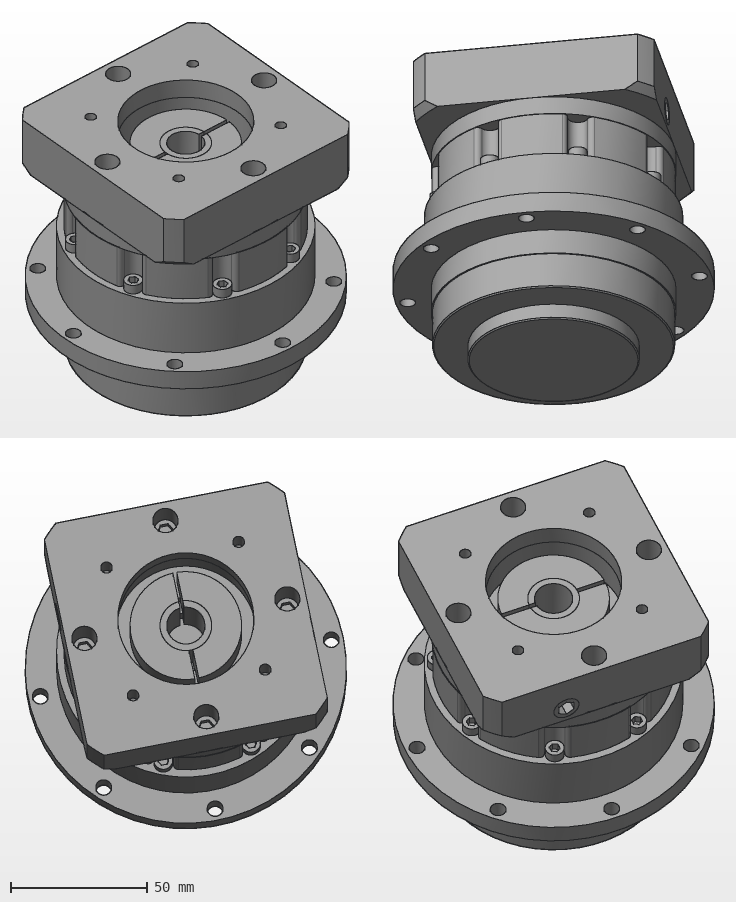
import cadquery as cq
import math

hub_radius = 31.5
hub_top = 6.0
nose_radius = 44.5
nose_top = 20.0
pilot_radius = 45.0
pilot_top = 29.8
flange_radius = 59.0
flange_top = 37.7
ring_radius = 47.5
ring_top = 60.5
neck_radius = 44.75
neck_top = 78.7
seat_radius = pilot_radius
gearbox_top = 85.7
output_chamfer = 0.5

flange_hole_count = 8
flange_hole_circle = 54.5
flange_hole_diameter = 5.8

neck_screw_count = 8
neck_screw_pitch = 360 / neck_screw_count
neck_screw_start = neck_screw_pitch / 2
neck_screw_circle = 42.9
neck_screw_head_diameter = 7.0
neck_screw_head_height = 3.9
neck_screw_socket = 3.5
neck_screw_socket_depth = 3.0
scallop_radius = 3.75
scallop_lip_radius = 2.0

adapter_width = 90.0
adapter_height = 22.8
adapter_top = gearbox_top + adapter_height
adapter_corner_radius = 60.0
adapter_corner_chamfer = 3.0
motor_pilot_radius = 25.0
motor_pilot_depth = 8.0
cavity_radius = motor_pilot_radius + 1.0

motor_hole_count = 4
motor_hole_start = 45
motor_hole_circle = 35.0
motor_hole_diameter = 4.2
motor_hole_depth = 12.0
drill_point_angle = 118.0

adapter_screw_count = 4
adapter_screw_circle = 38.0
adapter_screw_bore_diameter = 9.2
adapter_screw_bore_bottom = gearbox_top + 3.0
adapter_screw_head_diameter = 8.5
adapter_screw_head_height = 5.0
adapter_screw_socket = 5.0
adapter_screw_socket_depth = 3.0

plug_y = 14.0
plug_z = 92.5
plug_diameter = 10.0
plug_length = 8.0
plug_socket = 6.0
plug_socket_depth = 5.0

collar_radius = 20.5
collar_top = adapter_top - 10.0
slot_width = 1.5
shaft_radius = 14.0
shaft_slot_bottom = gearbox_top - 5.0
bushing_radius = 9.5
bushing_bore_radius = 7.0
bushing_length = 25.0
bushing_bottom = collar_top - bushing_length


def disc(radius, bottom, top):
    """Solid cylinder standing on the Z axis."""
    return cq.Workplane("XY").workplane(offset=bottom).circle(radius).extrude(top - bottom)


def ring_points(radius, count, start=0.0):
    """Points evenly spaced on a circle around the Z axis."""
    angles = [math.radians(start + 360 * i / count) for i in range(count)]
    return [(radius * math.cos(a), radius * math.sin(a)) for a in angles]


def pins(points, diameter, bottom, top):
    """Upright cylinders at the given points."""
    plane = cq.Workplane("XY").workplane(offset=bottom)
    return plane.pushPoints(points).circle(diameter / 2).extrude(top - bottom)


def hexagon_diameter(across_flats):
    """Corner-to-corner size of a hexagon."""
    return across_flats / math.cos(math.radians(30))


def screw_heads(points, diameter, bottom, height, socket, socket_depth):
    """Cylindrical screw heads with hexagon sockets."""
    top = bottom + height
    heads = pins(points, diameter, bottom, top)
    sockets = (
        cq.Workplane("XY").workplane(offset=top).pushPoints(points)
        .polygon(6, hexagon_diameter(socket)).extrude(-socket_depth)
    )
    return heads.cut(sockets)


def make_neck():
    """Neck with a round-bottomed scallop, open outward and with rounded lips, at every screw."""
    neck = disc(neck_radius, ring_top, neck_top)
    height = neck_top - ring_top
    reach = ring_radius - neck_screw_circle
    base = cq.Workplane("XY").workplane(offset=ring_top)
    scallop = base.center(neck_screw_circle, 0).circle(scallop_radius).extrude(height)
    mouth = (
        base.center(neck_screw_circle + reach / 2, 0)
        .rect(reach, 2 * scallop_radius).extrude(height)
    )
    scallop = scallop.union(mouth)
    for i in range(neck_screw_count):
        angle = neck_screw_start + i * neck_screw_pitch
        neck = neck.cut(scallop.rotate((0, 0, 0), (0, 0, 1), angle))

    lip_offset = math.degrees(math.asin(scallop_radius / neck_radius))
    mid_height = (ring_top + neck_top) / 2
    for side in (-1, 1):
        start = neck_screw_start + side * lip_offset
        for x, y in ring_points(neck_radius, neck_screw_count, start):
            lip = neck.edges(cq.selectors.NearestToPointSelector((x, y, mid_height)))
            neck = lip.fillet(scallop_lip_radius)
    return neck


def make_collar():
    """Slotted clamp collar; the slot runs deeper inside the shaft than in the collar rim."""
    collar = disc(collar_radius, gearbox_top, collar_top)
    return collar.cut(slot_blade(collar_radius, gearbox_top))


def slot_blade(radius, bottom):
    """Thin blade along Y, trimmed to a cylinder, that cuts the clamping slot."""
    blade = (
        cq.Workplane("XY").workplane(offset=bottom)
        .rect(slot_width, 2 * radius).extrude(collar_top - bottom)
    )
    return blade.intersect(disc(radius, bottom, collar_top))


def make_gearbox():
    body = disc(hub_radius, 0, hub_top).faces("<Z").chamfer(output_chamfer)
    body = body.union(disc(nose_radius, hub_top, nose_top).faces("<Z").chamfer(output_chamfer))
    body = body.union(disc(pilot_radius, nose_top, pilot_top))
    body = body.union(disc(flange_radius, pilot_top, flange_top))
    body = body.union(disc(ring_radius, flange_top, ring_top))
    body = body.union(make_neck())
    body = body.union(disc(seat_radius, neck_top, gearbox_top))

    flange_holes = ring_points(flange_hole_circle, flange_hole_count)
    body = body.cut(pins(flange_holes, flange_hole_diameter, pilot_top, flange_top))

    neck_screws = ring_points(neck_screw_circle, neck_screw_count, neck_screw_start)
    body = body.union(screw_heads(
        neck_screws, neck_screw_head_diameter, ring_top, neck_screw_head_height,
        neck_screw_socket, neck_screw_socket_depth,
    ))

    body = body.union(make_collar())
    body = body.cut(slot_blade(shaft_radius, shaft_slot_bottom))
    return body.cut(disc(bushing_radius, bushing_bottom, collar_top))


def make_bushing():
    """Sleeve in the collar bore, slit on its +Y side."""
    sleeve = disc(bushing_radius, bushing_bottom, collar_top)
    sleeve = sleeve.cut(disc(bushing_bore_radius, bushing_bottom, collar_top))
    slit = (
        cq.Workplane("XY").workplane(offset=bushing_bottom).center(0, bushing_radius / 2)
        .rect(slot_width, bushing_radius).extrude(bushing_length)
    )
    return sleeve.cut(slit)


def make_motor_drill():
    """Drilled hole shape with a pointed end, its mouth at the origin."""
    radius = motor_hole_diameter / 2
    point_length = radius / math.tan(math.radians(drill_point_angle / 2))
    return (
        cq.Workplane("XZ")
        .polyline([
            (0, 0),
            (radius, 0),
            (radius, -motor_hole_depth),
            (0, -motor_hole_depth - point_length),
        ])
        .close().revolve(360, (0, 0), (0, 1))
    )


def make_plug_blank():
    plane = cq.Workplane("YZ", origin=(-adapter_width / 2, plug_y, plug_z))
    return plane.circle(plug_diameter / 2).extrude(plug_length)


def make_adapter():
    plate = (
        cq.Workplane("XY").workplane(offset=gearbox_top)
        .rect(adapter_width, adapter_width).extrude(adapter_height)
    )
    turned_blank = disc(adapter_corner_radius, gearbox_top, adapter_top)
    plate = plate.intersect(turned_blank.faces("<Z").chamfer(adapter_corner_chamfer))
    plate = plate.cut(disc(motor_pilot_radius, gearbox_top, adapter_top))
    plate = plate.cut(disc(cavity_radius, gearbox_top, adapter_top - motor_pilot_depth))

    drill = make_motor_drill()
    for x, y in ring_points(motor_hole_circle, motor_hole_count, motor_hole_start):
        plate = plate.cut(drill.translate((x, y, adapter_top)))

    screws = ring_points(adapter_screw_circle, adapter_screw_count)
    plate = plate.cut(pins(
        screws, adapter_screw_bore_diameter, adapter_screw_bore_bottom, adapter_top,
    ))
    plate = plate.union(screw_heads(
        screws, adapter_screw_head_diameter, adapter_screw_bore_bottom, adapter_screw_head_height,
        adapter_screw_socket, adapter_screw_socket_depth,
    ))
    return plate.cut(make_plug_blank())


def make_plug():
    """Round plug with a hexagon socket that has corners pointing up and down."""
    socket = (
        cq.Workplane("YZ", origin=(-adapter_width / 2, plug_y, plug_z))
        .transformed(rotate=(0, 0, 30))
        .polygon(6, hexagon_diameter(plug_socket)).extrude(plug_socket_depth)
    )
    return make_plug_blank().cut(socket)


gearbox = make_gearbox()
adapter = make_adapter()
plug = make_plug()
bushing = make_bushing()

result = cq.Compound.makeCompound([
    gearbox.solids().val(),
    adapter.solids().val(),
    plug.solids().val(),
    bushing.solids().val(),
])